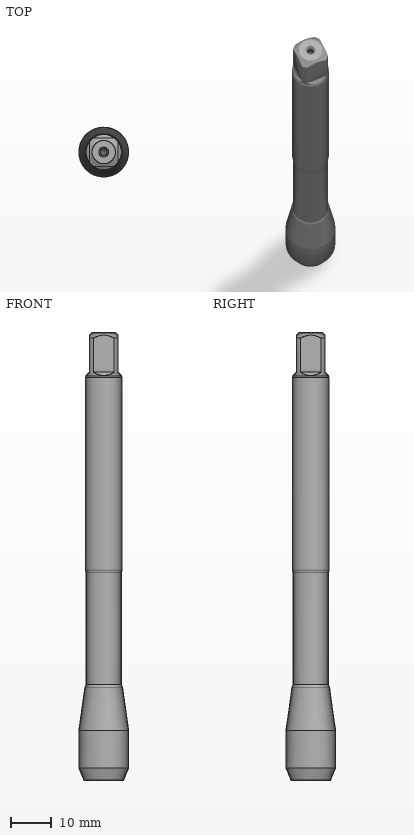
import cadquery as cq
import math

TOTAL_LENGTH = 110.0
SHANK_DIAMETER = 9.0
NECK_DIAMETER = 8.7
HEAD_DIAMETER = 12.2

CUTTING_TAPER_HEIGHT = 3.1
HEAD_TOP = 12.3
CONE_TOP = 22.9
NECK_BOTTOM = 23.5
NECK_TOP = 51.0
SHANK_BOTTOM = 51.7
SHANK_TOP = 99.0
DRIVE_BOTTOM = 99.3

HEAD_TIP_DIAMETER = 9.7
CONE_TOP_DIAMETER = 9.2

DRIVE_DIAMETER = NECK_DIAMETER
DRIVE_ACROSS_FLATS = 7.0
DRIVE_TOP_DIAMETER = 5.7
DRIVE_CHAMFER_HEIGHT = 1.3
FLAT_BOTTOM = 100.3

CENTRE_HOLE_DIAMETER = 1.6
CENTRE_HOLE_DEPTH = 2.8
COUNTERSINK_DIAMETER = 2.4
COUNTERSINK_ANGLE = 60.0
DRILL_POINT_ANGLE = 118.0


def revolve_profile(points):
    """Turn a closed (radius, height) outline about the Z axis."""
    return cq.Workplane("XZ").polyline(points).close().revolve(360, (0, 0), (0, 1))


def make_flat_cutter():
    """Material outside one drive flat, with a 45 degree run-out at its foot."""
    flat = DRIVE_ACROSS_FLATS / 2
    runout_size = SHANK_DIAMETER / 2 - flat
    outline = [
        (flat, TOTAL_LENGTH),
        (flat, FLAT_BOTTOM),
        (flat + runout_size, FLAT_BOTTOM - runout_size),
        (flat + runout_size, TOTAL_LENGTH),
    ]
    return cq.Workplane("XZ").polyline(outline).close().extrude(SHANK_DIAMETER, both=True)


def cone_depth(radius_change, included_angle):
    """Axial length of a cone whose radius changes by the given amount."""
    return radius_change / math.tan(math.radians(included_angle / 2))


def make_centre_hole():
    """Countersunk blind hole with a conical drill point."""
    radius = CENTRE_HOLE_DIAMETER / 2
    mouth_radius = COUNTERSINK_DIAMETER / 2
    bottom = TOTAL_LENGTH - CENTRE_HOLE_DEPTH
    return revolve_profile([
        (0, TOTAL_LENGTH),
        (mouth_radius, TOTAL_LENGTH),
        (radius, TOTAL_LENGTH - cone_depth(mouth_radius - radius, COUNTERSINK_ANGLE)),
        (radius, bottom),
        (0, bottom - cone_depth(radius, DRILL_POINT_ANGLE)),
    ])


def make_shank():
    """Cone, neck, cylindrical shank and square drive in one turned body."""
    shank = revolve_profile([
        (0, HEAD_TOP),
        (HEAD_DIAMETER / 2, HEAD_TOP),
        (CONE_TOP_DIAMETER / 2, CONE_TOP),
        (NECK_DIAMETER / 2, NECK_BOTTOM),
        (NECK_DIAMETER / 2, NECK_TOP),
        (SHANK_DIAMETER / 2, SHANK_BOTTOM),
        (SHANK_DIAMETER / 2, SHANK_TOP),
        (DRIVE_DIAMETER / 2, DRIVE_BOTTOM),
        (DRIVE_DIAMETER / 2, TOTAL_LENGTH - DRIVE_CHAMFER_HEIGHT),
        (DRIVE_TOP_DIAMETER / 2, TOTAL_LENGTH),
        (0, TOTAL_LENGTH),
    ])
    flat_cutter = make_flat_cutter()
    for angle in (0, 90, 180, 270):
        shank = shank.cut(flat_cutter.rotate((0, 0, 0), (0, 0, 1), angle))
    return shank.cut(make_centre_hole())


def make_cutting_head():
    """Cylindrical head with a tapered lead at its lower end."""
    return revolve_profile([
        (0, 0),
        (HEAD_TIP_DIAMETER / 2, 0),
        (HEAD_DIAMETER / 2, CUTTING_TAPER_HEIGHT),
        (HEAD_DIAMETER / 2, HEAD_TOP),
        (0, HEAD_TOP),
    ])


shank = make_shank()
cutting_head = make_cutting_head()

result = cq.Compound.makeCompound([shank.val(), cutting_head.val()])